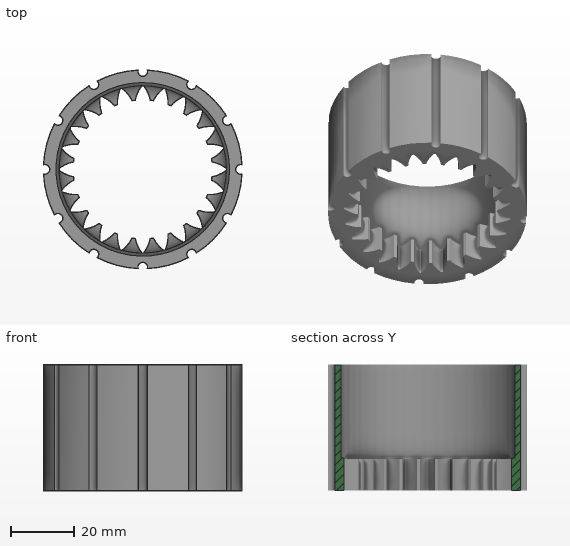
import cadquery as cq
import math

LENGTH = 40.0
OUTER_RADIUS = 31.5
BORE_RADIUS = 27.5

GROOVE_COUNT = 12
GROOVE_RADIUS = 1.5
GROOVE_INSET = 0.5
GROOVE_CENTRE_RADIUS = OUTER_RADIUS - GROOVE_INSET

MODULE = 2.0
TOOTH_COUNT = 24
DEDENDUM_FACTOR = 1.25
PRESSURE_ANGLE = math.radians(27)
SPACE_EXTRA = 0.35
PITCH_RADIUS = MODULE * TOOTH_COUNT / 2
TIP_RADIUS = PITCH_RADIUS - MODULE
ROOT_RADIUS = PITCH_RADIUS + DEDENDUM_FACTOR * MODULE
BASE_RADIUS = PITCH_RADIUS * math.cos(PRESSURE_ANGLE)
SPACE_WIDTH = math.pi * MODULE / 2 + SPACE_EXTRA
FLANK_STEPS = 6

LEDGE_HEIGHT = 10.5
GEAR_HEIGHT = 10.0


def involute(angle):
    """Involute function of a pressure angle."""
    return math.tan(angle) - angle


def space_half_angle(radius):
    """Half the angle that one tooth space spans at the given radius."""
    local_angle = math.acos(BASE_RADIUS / radius)
    return SPACE_WIDTH / (2 * PITCH_RADIUS) + involute(PRESSURE_ANGLE) - involute(local_angle)


def polar(radius, angle):
    """Point at a radius and an angle from +X."""
    return (radius * math.cos(angle), radius * math.sin(angle))


def ring_body():
    """Tube with a wide bore above the gear and a solid tip-diameter ring below."""
    body = cq.Workplane("XY").circle(OUTER_RADIUS).circle(TIP_RADIUS).extrude(LENGTH)
    bore = cq.Workplane("XY").workplane(offset=LEDGE_HEIGHT).circle(BORE_RADIUS)
    body = body.cut(bore.extrude(LENGTH - LEDGE_HEIGHT))
    relief = cq.Workplane("XY").workplane(offset=GEAR_HEIGHT).circle(ROOT_RADIUS)
    return body.cut(relief.extrude(LEDGE_HEIGHT - GEAR_HEIGHT))


def tooth_space():
    """Gap between two gear teeth, centred on +X, with involute flanks."""
    radius_step = (ROOT_RADIUS - TIP_RADIUS) / FLANK_STEPS
    radii = [TIP_RADIUS + radius_step * i for i in range(FLANK_STEPS + 1)]
    lower_flank = [polar(r, -space_half_angle(r)) for r in radii]
    upper_flank = [polar(r, space_half_angle(r)) for r in reversed(radii)]
    inner_radius = TIP_RADIUS - MODULE
    inner_angle = space_half_angle(TIP_RADIUS)
    return (
        cq.Workplane("XY")
        .moveTo(*polar(inner_radius, -inner_angle))
        .lineTo(*lower_flank[0])
        .spline(lower_flank[1:], includeCurrent=True)
        .threePointArc((ROOT_RADIUS, 0), upper_flank[0])
        .spline(upper_flank[1:], includeCurrent=True)
        .lineTo(*polar(inner_radius, inner_angle))
        .close()
        .extrude(GEAR_HEIGHT)
    )


def cut_gear(body):
    space = tooth_space()
    for i in range(TOOTH_COUNT):
        body = body.cut(space.rotate((0, 0, 0), (0, 0, 1), i * 360 / TOOTH_COUNT))
    return body


def cut_grooves(body):
    grooves = (
        cq.Workplane("XY")
        .polarArray(GROOVE_CENTRE_RADIUS, 0, 360, GROOVE_COUNT)
        .circle(GROOVE_RADIUS)
        .extrude(LENGTH)
    )
    return body.cut(grooves)


result = cut_grooves(cut_gear(ring_body()))